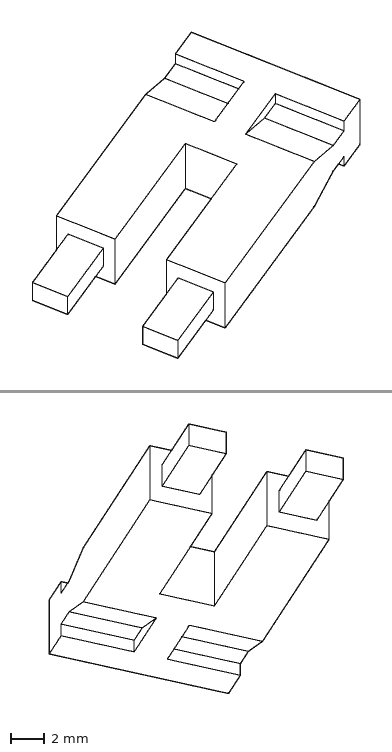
import cadquery as cq

width = 11.5
length = 21.5
thickness = 4.0

pin_length = 4.5
pin_width = 2.4
pin_thickness = 1.6

leg_width = 4.0
slot_end_y = 13.35
slot_width = width - 2 * leg_width

web_width = 2.13
recess_depth = 0.85
ramp_start_y = 15.74
ramp_end_y = 18.12
recess_end_y = 19.48


def make_body():
    """Flat block with an open slot that leaves two legs."""
    block = cq.Workplane("XY").box(
        width, length - pin_length, thickness, centered=(True, False, True)
    ).translate((0, pin_length, 0))
    slot = cq.Workplane("XY").box(
        slot_width, slot_end_y - pin_length, thickness, centered=(True, False, True)
    ).translate((0, pin_length, 0))
    return block.cut(slot)


def make_pin(side):
    """Rectangular pin centred on the end of one leg."""
    center_x = side * (width - leg_width) / 2
    return cq.Workplane("XY").box(
        pin_width, pin_length, pin_thickness, centered=(True, False, True)
    ).translate((center_x, 0, 0))


def make_recess_pair(face):
    """Ramped recess across one face, interrupted by the central web."""
    face_z = face * thickness / 2
    floor_z = face_z - face * recess_depth
    profile = [
        (ramp_start_y, face_z),
        (ramp_end_y, floor_z),
        (recess_end_y, floor_z),
        (recess_end_y, face_z),
    ]
    channel = cq.Workplane("YZ").polyline(profile).close().extrude(width / 2, both=True)
    web = cq.Workplane("XY").box(web_width, length, thickness, centered=(True, False, True))
    return channel.cut(web)


result = make_body()
for side in (-1, 1):
    result = result.union(make_pin(side))
for face in (-1, 1):
    result = result.cut(make_recess_pair(face))